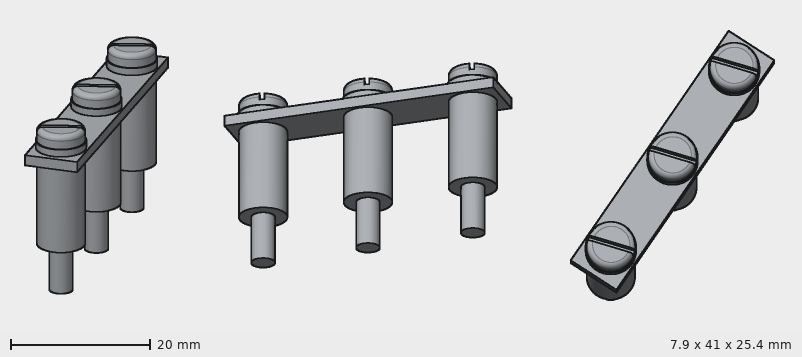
import cadquery as cq

bar_width = 7.9
bar_length = 41.0
bar_thickness = 1.6

station_count = 3
station_pitch = 16.0

screw_length = 25.4
shank_diameter = 3.45
head_diameter = 7.0
head_height = 2.15
head_edge_radius = 0.8
slot_width = 0.7
slot_depth = 1.2
slot_angle = 16.5

washer_diameter = 7.35
washer_thickness = 1.1
sleeve_diameter = head_diameter
sleeve_length = 13.4

head_bottom = screw_length - head_height
washer_bottom = head_bottom - washer_thickness
bar_bottom = washer_bottom - bar_thickness
sleeve_bottom = bar_bottom - sleeve_length

station_positions = [
    (index - (station_count - 1) / 2) * station_pitch for index in range(station_count)
]


def make_ring(diameter, bottom, height):
    """Cylindrical ring whose bore fits the screw shank."""
    return (
        cq.Workplane("XY")
        .workplane(offset=bottom)
        .circle(diameter / 2)
        .circle(shank_diameter / 2)
        .extrude(height)
    )


def make_bar():
    """Flat bar with one shank hole at each station."""
    hole_centres = [(0, y) for y in station_positions]
    return (
        cq.Workplane("XY")
        .box(bar_width, bar_length, bar_thickness)
        .faces(">Z")
        .workplane()
        .pushPoints(hole_centres)
        .hole(shank_diameter)
        .translate((0, 0, bar_bottom + bar_thickness / 2))
    )


def make_screw():
    """Shank and rounded head, with a driver slot right across the head."""
    shank = cq.Workplane("XY").circle(shank_diameter / 2).extrude(head_bottom)
    head = (
        cq.Workplane("XY")
        .workplane(offset=head_bottom)
        .circle(head_diameter / 2)
        .extrude(head_height)
        .faces(">Z")
        .edges()
        .fillet(head_edge_radius)
    )
    slot = (
        cq.Workplane("XY")
        .workplane(offset=screw_length - slot_depth)
        .transformed(rotate=(0, 0, slot_angle))
        .rect(2 * head_diameter, slot_width)
        .extrude(slot_depth)
    )
    return shank.union(head).cut(slot)


def make_washer():
    """Washer between the head and the bar."""
    return make_ring(washer_diameter, washer_bottom, washer_thickness)


def make_sleeve():
    """Spacer sleeve around the shank, below the bar."""
    return make_ring(sleeve_diameter, sleeve_bottom, sleeve_length)


bar = make_bar()
bodies = [bar.val()]
for y in station_positions:
    for make_body in (make_screw, make_washer, make_sleeve):
        body = make_body().translate((0, y, 0))
        bodies.append(body.val())

result = cq.Compound.makeCompound(bodies)